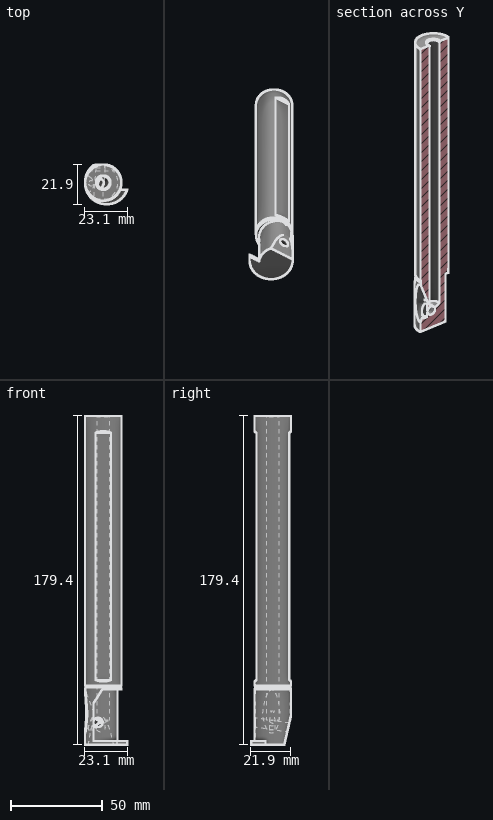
import cadquery as cq
import math

total_length = 179.43
shank_radius = 10.0
shank_bottom = 32.4
flat_distance = 9.0
flat_depth = shank_radius - flat_distance
flat_bottom = 35.5
flat_top = 170.1

groove_radius = 9.7
collar_top = 31.3
collar_bottom = 30.2

head_radius = 11.87
head_offset = head_radius - shank_radius
relief_radius = shank_radius
relief_offset = -2.1
cone_top_radius = 9.75
cone_low_radius = 10.8
cone_low_height = 23.2

lip_height = 2.2
lip_face_y = -3.85

back_foot_y = 6.3
back_slope_top = 16.0

bore_radius = 3.4
bore_mouth_radius = 4.0
bore_tip = 11.6
bore_tip_angle = math.radians(118)

cross_radius = 2.5
cross_start = cq.Vector(-3.05, -12.0, 12.6)
cross_direction = cq.Vector(0.08, 1.0, -0.15)

pocket_radius = 4.85
pocket_bend = cq.Vector(-shank_radius, -0.9, 16.9)
pocket_leg_length = 30.0
pocket_upper_tilt = math.radians(21.5)
pocket_lower_tilt = math.radians(27.3)

floor_hole_radius = 1.45
floor_hole_y = -0.35
floor_hole_bottom = 8.0
floor_hole_top = 18.4

clearance = 30.0


def cylinder_along(start, direction, radius, length):
    return cq.Workplane(obj=cq.Solid.makeCylinder(radius, length, start, direction))


def shank():
    bar = (
        cq.Workplane("XY", origin=(0, 0, shank_bottom))
        .circle(shank_radius)
        .extrude(total_length - shank_bottom)
    )
    groove_core = (
        cq.Workplane("XY", origin=(0, 0, collar_bottom))
        .circle(groove_radius)
        .extrude(shank_bottom - collar_bottom)
    )
    for side in (1, -1):
        bar = bar.cut(flat_cutter(side))
    return bar.union(groove_core)


def flat_cutter(side):
    """Trapezoid cutter whose two ends ramp outwards at 45 degrees."""
    inner = side * flat_distance
    outer = side * (shank_radius + flat_depth)
    ramp = abs(outer - inner)
    return (
        cq.Workplane("YZ")
        .polyline([
            (inner, flat_bottom),
            (outer, flat_bottom - ramp),
            (outer, flat_top + ramp),
            (inner, flat_top),
        ])
        .close()
        .extrude(shank_radius, both=True)
    )


def head():
    body = cq.Workplane("XY").center(head_offset, 0).circle(head_radius).extrude(collar_top)
    relief = (
        cq.Workplane("XY")
        .center(relief_offset, 0)
        .circle(relief_radius)
        .extrude(collar_bottom)
    )
    collar = (
        cq.Workplane("XY", origin=(0, 0, collar_bottom))
        .circle(clearance)
        .extrude(collar_top - collar_bottom)
    )
    lip = (
        cq.Workplane("XY")
        .center(0, lip_face_y - clearance / 2)
        .rect(2 * clearance, clearance)
        .extrude(lip_height)
    )
    profile = relief.union(collar).intersect(head_cone()).union(lip)
    return body.intersect(profile).cut(back_cutter())


def head_cone():
    """Cone that narrows the top of the head to the collar; wider than the head lower down."""
    slope = (cone_low_radius - cone_top_radius) / (collar_top - cone_low_height)
    foot_radius = cone_top_radius + slope * collar_top
    return cq.Workplane(obj=cq.Solid.makeCone(foot_radius, cone_top_radius, collar_top))


def back_cutter():
    return (
        cq.Workplane("YZ")
        .polyline([
            (back_foot_y, 0),
            (relief_radius, back_slope_top),
            (clearance, back_slope_top),
            (clearance, 0),
        ])
        .close()
        .extrude(clearance, both=True)
    )


def bore():
    chamfer = bore_mouth_radius - bore_radius
    point_height = bore_radius / math.tan(bore_tip_angle / 2)
    return (
        cq.Workplane("XZ")
        .polyline([
            (0, bore_tip),
            (bore_radius, bore_tip + point_height),
            (bore_radius, total_length - chamfer),
            (bore_mouth_radius, total_length),
            (0, total_length),
        ])
        .close()
        .revolve(360, (0, 0), (0, 1))
    )


def cross_hole():
    return cylinder_along(cross_start, cross_direction, cross_radius, clearance)


def side_pocket():
    """Two legs that lean outwards from a ball at the bend."""
    pocket = cq.Workplane(obj=cq.Solid.makeSphere(pocket_radius, pocket_bend, angleDegrees1=-90))
    for rise, tilt in ((1, pocket_upper_tilt), (-1, pocket_lower_tilt)):
        direction = cq.Vector(-math.sin(tilt), 0, rise * math.cos(tilt))
        pocket = pocket.union(cylinder_along(pocket_bend, direction, pocket_radius, pocket_leg_length))
    return pocket


def floor_hole():
    hole_x = pocket_bend.x + pocket_radius - floor_hole_radius
    return cylinder_along(
        cq.Vector(hole_x, floor_hole_y, floor_hole_bottom),
        cq.Vector(0, 0, 1),
        floor_hole_radius,
        floor_hole_top - floor_hole_bottom,
    )


result = (
    shank()
    .union(head())
    .cut(bore())
    .cut(cross_hole())
    .cut(side_pocket())
    .cut(floor_hole())
)